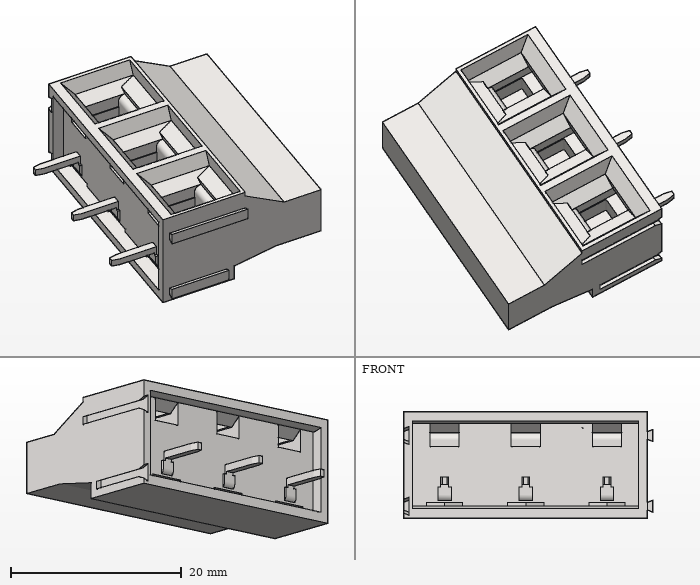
import cadquery as cq


pole_count = 3
pitch = 9.5
rib_height = 0.65
overall_length = 29.15
body_length = overall_length - rib_height
body_depth = 20.97
body_height = 12.5
top_ledge_y = 10.9
top_ledge_z = 11.95
tail_top_y = 16.07
tail_top_z = 9.07
tail_bottom_y = 14.95
tail_bottom_z = 2.85
foot_y = 9.48
foot_top_z = 1.92

recess_margin = 1.05
recess_depth = 1.43
recess_bottom = 1.43
recess_top = 11.15
mouth_flare = 0.25
mouth_flare_depth = 1.05

funnel_width = 8.57
funnel_front_y = 1.3
funnel_back_y = 10.47
funnel_floor_width = 6.82
funnel_floor_z = 10.85
slot_width = 3.45
slot_front_y = 2.77
slot_back_y = 8.45
slot_rim_z = 10.03
ramp_tip_z = (funnel_floor_z + slot_rim_z) / 2

window_floor_z = 8.4
clamp_roll_radius = 0.85
clamp_front_y = slot_back_y - clamp_roll_radius
clamp_gap = 0.03
clamp_top_z = slot_rim_z - clamp_gap
pocket_width = 3.25
pocket_front_y = 3.73
pocket_floor_z = 5.83
pocket_corner_radius = 0.17

notch_width = 4.23
notch_height = 0.4
notch_near_depth = 0.87
notch_far_depth = 2.05

pin_width = 0.93
pin_thickness = 0.87
pin_bottom_z = 4.0
pin_length = 4.43
pin_tip_width = 0.52
pin_tip_length = 1.0
leg_width = 1.57
leg_protrusion = 0.3
leg_front_y = recess_depth - leg_protrusion
leg_top_z = 3.7
leg_curl_z = 2.75
leg_curl_radius = 0.82

dovetail_width = 0.9
dovetail_spread = 0.25
lead_in_depth = 0.87
lead_in_flare = 0.35
upper_dovetail_z = 9.7
upper_dovetail_end = top_ledge_y
lower_dovetail_z = 1.43
lower_dovetail_end = 8.43

middle_x = body_length / 2
first_pole_x = 4.78
pole_centres = [first_pole_x + i * pitch for i in range(pole_count)]


def prism_along_x(points, centre_x, width):
    """Extrude a closed (y, z) outline evenly about centre_x."""
    return cq.Workplane("YZ", origin=(centre_x, 0, 0)).polyline(points).close().extrude(width / 2, both=True)


def housing():
    side_outline = [
        (0, 0),
        (0, body_height),
        (top_ledge_y, body_height),
        (top_ledge_y, top_ledge_z),
        (tail_top_y, tail_top_z),
        (body_depth, tail_top_z),
        (body_depth, tail_bottom_z),
        (tail_bottom_y, tail_bottom_z),
        (foot_y, foot_top_z),
        (foot_y, 0),
    ]
    return prism_along_x(side_outline, middle_x, body_length)


def pin_face_recess():
    outline = [
        (0, recess_bottom - mouth_flare),
        (mouth_flare_depth, recess_bottom),
        (recess_depth, recess_bottom),
        (recess_depth, recess_top),
        (mouth_flare_depth, recess_top),
        (0, recess_top + mouth_flare),
    ]
    return prism_along_x(outline, middle_x, body_length - 2 * recess_margin)


def funnel(centre_x):
    def rectangle(width, front_y, z):
        left = centre_x - width / 2
        right = centre_x + width / 2
        return cq.Wire.makePolygon(
            [(left, front_y, z), (right, front_y, z), (right, funnel_back_y, z), (left, funnel_back_y, z)],
            close=True,
        )

    upper = cq.Solid.makeLoft(
        [
            rectangle(funnel_width, funnel_front_y, body_height),
            rectangle(funnel_floor_width, slot_front_y, funnel_floor_z),
        ],
        True,
    )
    side_floors = (
        cq.Workplane("XZ", origin=(centre_x, slot_front_y, 0))
        .polyline(
            [
                (-funnel_floor_width / 2, funnel_floor_z),
                (-slot_width / 2, slot_rim_z),
                (slot_width / 2, slot_rim_z),
                (funnel_floor_width / 2, funnel_floor_z),
            ]
        )
        .close()
        .extrude(slot_front_y - funnel_back_y)
    )
    back_ramp = prism_along_x(
        [
            (slot_front_y, slot_rim_z),
            (slot_back_y, slot_rim_z),
            (slot_back_y, ramp_tip_z),
            (funnel_back_y, funnel_floor_z),
            (slot_front_y, funnel_floor_z),
        ],
        centre_x,
        funnel_floor_width,
    )
    return cq.Workplane(upper).union(side_floors.intersect(back_ramp))


def slot_and_window(centre_x):
    """Slot under the funnel, open to the recess and ending on the clamp's rolled edge."""
    outline = (
        cq.Workplane("YZ", origin=(centre_x, 0, 0))
        .moveTo(recess_depth, window_floor_z)
        .lineTo(recess_depth, recess_top)
        .lineTo(slot_front_y, slot_rim_z)
        .lineTo(slot_back_y, slot_rim_z)
        .lineTo(slot_back_y, clamp_top_z)
        .radiusArc((clamp_front_y, clamp_top_z - clamp_roll_radius), -clamp_roll_radius)
        .lineTo(clamp_front_y, window_floor_z)
        .close()
    )
    return outline.extrude(slot_width / 2, both=True)


def clamp_pocket(centre_x):
    return (
        cq.Workplane("XY")
        .box(
            pocket_width,
            clamp_front_y - pocket_front_y,
            window_floor_z - pocket_floor_z,
            centered=(True, False, False),
        )
        .translate((centre_x, pocket_front_y, pocket_floor_z))
        .edges("|Z and <Y")
        .fillet(pocket_corner_radius)
    )


def notch(centre_x):
    """Low notch in the recess wall whose back turns deeper past the pole centre."""
    half_width = notch_width / 2
    return (
        cq.Workplane("XY", origin=(centre_x, recess_depth, recess_bottom))
        .polyline(
            [
                (-half_width, 0),
                (-half_width, notch_near_depth),
                (0, notch_near_depth),
                (half_width, notch_far_depth),
                (half_width, 0),
            ]
        )
        .close()
        .extrude(notch_height)
    )


def contact(centre_x):
    pin_top_z = pin_bottom_z + pin_thickness
    leg_back_y = leg_front_y + pin_thickness
    bent_strip = (
        cq.Workplane("YZ", origin=(centre_x, 0, 0))
        .moveTo(-pin_length, pin_bottom_z)
        .lineTo(-pin_length, pin_top_z)
        .lineTo(leg_front_y, pin_top_z)
        .radiusArc((leg_back_y, pin_bottom_z), pin_thickness)
        .lineTo(leg_back_y, leg_top_z)
        .lineTo(leg_front_y, leg_top_z)
        .lineTo(leg_front_y, pin_bottom_z)
        .close()
        .extrude(pin_width / 2, both=True)
    )
    taper_start_y = pin_tip_length - pin_length
    pin_plan = (
        cq.Workplane("XY", origin=(centre_x, 0, 0))
        .polyline(
            [
                (-pin_tip_width / 2, -pin_length),
                (-pin_width / 2, taper_start_y),
                (-pin_width / 2, leg_back_y),
                (pin_width / 2, leg_back_y),
                (pin_width / 2, taper_start_y),
                (pin_tip_width / 2, -pin_length),
            ]
        )
        .close()
        .extrude(body_height)
    )
    curl_centre_y = leg_front_y + leg_curl_radius
    leg = (
        cq.Workplane("YZ", origin=(centre_x, 0, 0))
        .moveTo(leg_front_y, leg_top_z)
        .lineTo(leg_front_y, leg_curl_z)
        .radiusArc((curl_centre_y, leg_curl_z - leg_curl_radius), -leg_curl_radius)
        .lineTo(curl_centre_y, leg_top_z)
        .close()
        .extrude(leg_width / 2, both=True)
    )
    return bent_strip.intersect(pin_plan).union(leg)


def dovetail_section(face_x, y, centre_z, face_width):
    """Trapezoid that widens from the plane x = face_x towards +x."""
    near = face_width / 2
    far = near + dovetail_spread
    far_x = face_x + rib_height
    return cq.Wire.makePolygon(
        [
            (face_x, y, centre_z - near),
            (face_x, y, centre_z + near),
            (far_x, y, centre_z + far),
            (far_x, y, centre_z - far),
        ],
        close=True,
    )


def dovetail_bar(face_x, centre_z, end_y):
    sections = [dovetail_section(face_x, y, centre_z, dovetail_width) for y in (lead_in_depth, end_y)]
    return cq.Workplane(cq.Solid.makeLoft(sections, True))


def dovetail_groove(centre_z, end_y):
    lead_in = cq.Solid.makeLoft(
        [
            dovetail_section(0, 0, centre_z, dovetail_width + 2 * lead_in_flare),
            dovetail_section(0, lead_in_depth, centre_z, dovetail_width),
        ],
        True,
    )
    return dovetail_bar(0, centre_z, end_y).union(cq.Workplane(lead_in))


result = housing().cut(pin_face_recess())

for pole_x in pole_centres:
    for cavity in (funnel, slot_and_window, clamp_pocket, notch):
        result = result.cut(cavity(pole_x))
    result = result.union(contact(pole_x))

for dovetail_z, dovetail_end in (
    (upper_dovetail_z, upper_dovetail_end),
    (lower_dovetail_z, lower_dovetail_end),
):
    result = result.cut(dovetail_groove(dovetail_z, dovetail_end))
    result = result.union(dovetail_bar(body_length, dovetail_z, dovetail_end))